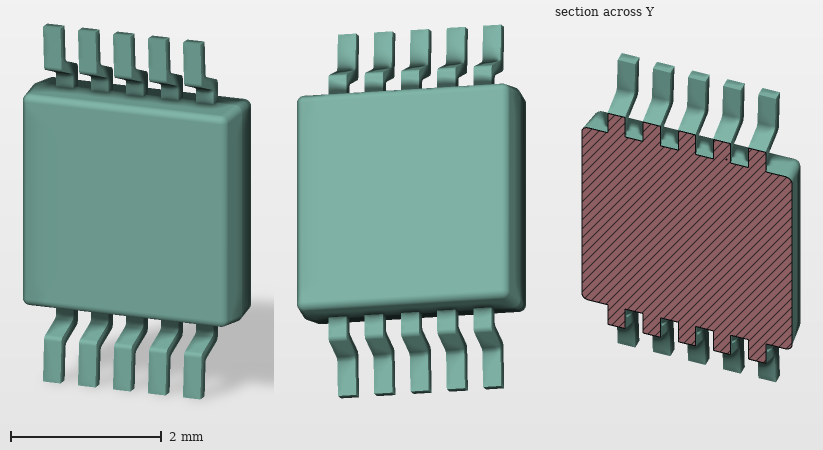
import cadquery as cq
import math

BODY_SIDE = 3.0
BODY_THICKNESS = 1.0
DRAFT_ANGLE = 5.0
BODY_FILLET = 0.1

LEADS_PER_ROW = 5
LEAD_PITCH = 0.5
LEAD_WIDTH = 0.25
LEAD_THICKNESS = 0.15
LEAD_BEND_RADIUS = 0.07
LEAD_ROOT_Z = 1.3
FOOT_DROP = 0.05
FOOT_TILT = 4.0
SLANT_ANGLE = 20.0
TIP_Z = 2.46
NECK_BEND_Z = 1.695


def make_body():
    """Two drafted halves meeting at the parting plane, rounded everywhere but there."""
    half_thickness = BODY_THICKNESS / 2
    front = (
        cq.Workplane("XZ")
        .rect(BODY_SIDE, BODY_SIDE)
        .extrude(half_thickness, taper=DRAFT_ANGLE)
    )
    body = front.union(front.mirror("XZ"))
    face_edges = body.faces("<Y or >Y").edges()
    corner_edges = body.edges("not(#Y or |X or |Z)")
    return body.newObject(face_edges.vals() + corner_edges.vals()).fillet(BODY_FILLET)


def lead_profile():
    """Corners (Y, Z) of one upper lead: the -Y side outward, then the +Y side back."""
    half_thickness = LEAD_THICKNESS / 2
    tilt = math.radians(FOOT_TILT)
    slant = math.radians(SLANT_ANGLE)

    front_neck_y = -half_thickness
    front_tip_y = -BODY_THICKNESS / 2 - FOOT_DROP
    run_without_tilt = front_neck_y - front_tip_y
    tip_height = TIP_Z - NECK_BEND_Z
    run = (run_without_tilt - tip_height * math.tan(tilt)) / (1 - math.tan(slant) * math.tan(tilt))
    front_knee = (front_neck_y - run, NECK_BEND_Z + run * math.tan(slant))

    neck_shift_z = LEAD_THICKNESS * math.tan((math.pi / 2 - slant) / 2)
    back_neck = (half_thickness, NECK_BEND_Z + neck_shift_z)
    half_knee_turn = (math.pi / 2 - slant - tilt) / 2
    miter_length = LEAD_THICKNESS / math.cos(half_knee_turn)
    miter_angle = half_knee_turn + tilt
    miter_y = miter_length * math.cos(miter_angle)
    miter_z = miter_length * math.sin(miter_angle)
    back_knee = (front_knee[0] + miter_y, front_knee[1] + miter_z)
    back_tip_y = front_tip_y + LEAD_THICKNESS / math.cos(tilt)

    return [
        (front_neck_y, LEAD_ROOT_Z),
        (front_neck_y, NECK_BEND_Z),
        front_knee,
        (front_tip_y, TIP_Z),
        (back_tip_y, TIP_Z),
        back_knee,
        back_neck,
        (half_thickness, LEAD_ROOT_Z),
    ]


def make_upper_lead():
    """One bent lead at the +Z end, centred on X = 0."""
    lead = cq.Workplane("YZ").polyline(lead_profile()).close().extrude(LEAD_WIDTH / 2, both=True)
    bend_zone = cq.selectors.BoxSelector(
        (-LEAD_WIDTH, -BODY_THICKNESS, BODY_SIDE / 2),
        (LEAD_WIDTH, BODY_THICKNESS, TIP_Z - LEAD_THICKNESS),
    )
    return lead.edges("|X").edges(bend_zone).fillet(LEAD_BEND_RADIUS)


def add_leads(body):
    """Evenly spaced leads along X, repeated in mirror image at the -Z end."""
    upper_lead = make_upper_lead()
    lower_lead = upper_lead.mirror("XY")
    first_x = -LEAD_PITCH * (LEADS_PER_ROW - 1) / 2
    for index in range(LEADS_PER_ROW):
        offset = (first_x + index * LEAD_PITCH, 0, 0)
        body = body.union(upper_lead.translate(offset))
        body = body.union(lower_lead.translate(offset))
    return body


result = add_leads(make_body())